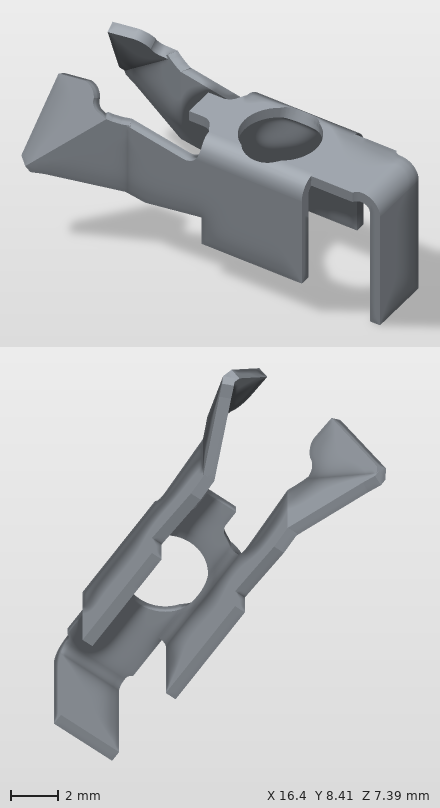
import cadquery as cq
import math


THICKNESS = 0.5
OUTER_RADIUS = 0.9
INNER_RADIUS = OUTER_RADIUS - THICKNESS
END_X = 16.39

WALL_OUTER_Y = 2.41
WALL_INNER_Y = WALL_OUTER_Y - THICKNESS
WALL_FRONT_X = 8.01
WALL_END_X = 13.05
WALL_BOTTOM_Z = -5.31
NOTCH_TOP_Z = -3.9
ARM_LOWEST_POINT = (5.18, -4.31)
BEND_Y = WALL_OUTER_Y - OUTER_RADIUS

TAB_START_X = 6.33
TAB_HALF_WIDTH = 0.75
RELIEF_START_X = 7.08
RELIEF_END_X = 7.8
RELIEF_BOTTOM_Z = -1.15
NECK_HALF_WIDTH = 1.7
NECK_END_X = 15.15
NECK_CORNER_END_X = 15.44
FLANGE_BEND_X = END_X - OUTER_RADIUS
FLANGE_BOTTOM_Z = -6.72

HOLE_X = 10.42
HOLE_RADIUS = 1.8
HOLE_BEND_ANGLE = 30

FLANK_ANGLE = 24.3
FLANK_CREASE_X = 4.2
ARM_CREASE_TOP_Z = -0.55
ARM_CREASE_BOTTOM_Z = -4.15
FOLD_ANGLE = 40.4
FOLD_TOP = (1.02, -0.31)
FOLD_BOTTOM = (4.47, -3.23)
FLANK_CHAMFER_END = (4.26, -3.52)
FLANK_BOTTOM_KNEE = (3.65, -3.55)
TIP_TOP_CORNER = (1.25, 2.75)
TIP_FRONT_CORNER = (4.49, 0.49)


def top_plate():
    """Flat plate with the tab in front and the neck behind, less the hole."""
    corner_length = NECK_CORNER_END_X - NECK_END_X
    corner_depth = NECK_HALF_WIDTH - BEND_Y
    corner_radius = (corner_length**2 + corner_depth**2) / (2 * corner_depth)
    half = (
        cq.Workplane("XY")
        .moveTo(TAB_START_X, 0)
        .lineTo(TAB_START_X, TAB_HALF_WIDTH)
        .lineTo(RELIEF_START_X, TAB_HALF_WIDTH)
        .threePointArc((7.36, 0.85), (7.54, 1.05))
        .lineTo(RELIEF_END_X, BEND_Y)
        .lineTo(WALL_END_X, BEND_Y)
        .lineTo(WALL_END_X, NECK_HALF_WIDTH)
        .lineTo(NECK_END_X, NECK_HALF_WIDTH)
        .radiusArc((NECK_CORNER_END_X, BEND_Y), -corner_radius)
        .lineTo(FLANGE_BEND_X, BEND_Y)
        .lineTo(FLANGE_BEND_X, 0)
        .close()
        .extrude(-THICKNESS)
    )
    hole = cq.Workplane("XY").center(HOLE_X, 0).circle(HOLE_RADIUS).extrude(-THICKNESS)
    return half.union(half.mirror("XZ")).cut(hole)


def end_flange():
    """Rounded bend at the far end and the flange hanging from it."""
    return (
        cq.Workplane("XZ")
        .moveTo(FLANGE_BEND_X, 0)
        .radiusArc((END_X, -OUTER_RADIUS), OUTER_RADIUS)
        .lineTo(END_X, FLANGE_BOTTOM_Z)
        .lineTo(END_X - THICKNESS, FLANGE_BOTTOM_Z)
        .lineTo(END_X - THICKNESS, -OUTER_RADIUS)
        .radiusArc((FLANGE_BEND_X, -THICKNESS), -INNER_RADIUS)
        .close()
        .extrude(BEND_Y, both=True)
    )


def hole_in_bend():
    """Part of the hole lying in a side bend; its walls converge on the bend axis."""
    half_chord = math.sqrt(HOLE_RADIUS**2 - BEND_Y**2)
    spread = math.tan(math.radians(HOLE_BEND_ANGLE))
    upper_reach = OUTER_RADIUS * spread
    cutter_depth = OUTER_RADIUS - INNER_RADIUS / 2
    lower_reach = (OUTER_RADIUS - cutter_depth) * spread
    return (
        cq.Workplane("XY", origin=(HOLE_X, -BEND_Y, 0))
        .moveTo(-half_chord, 0)
        .threePointArc((0, -upper_reach), (half_chord, 0))
        .close()
        .workplane(offset=-cutter_depth)
        .moveTo(-half_chord, 0)
        .threePointArc((0, -lower_reach), (half_chord, 0))
        .close()
        .loft(ruled=True)
    )


def side_wall():
    """Flat wall on the -Y side with the arm in front of it, and the bend up to the plate."""
    relief_at_bend = (7.72, -OUTER_RADIUS)
    flat = (
        cq.Workplane("XZ", origin=(0, -WALL_INNER_Y, 0))
        .moveTo(FLANK_CREASE_X, ARM_CREASE_TOP_Z)
        .lineTo(RELIEF_START_X, RELIEF_BOTTOM_Z)
        .threePointArc((7.47, -1.1), relief_at_bend)
        .lineTo(WALL_END_X, -OUTER_RADIUS)
        .lineTo(WALL_END_X, WALL_BOTTOM_Z)
        .lineTo(WALL_FRONT_X, WALL_BOTTOM_Z)
        .lineTo(WALL_FRONT_X, NOTCH_TOP_Z)
        .lineTo(*ARM_LOWEST_POINT)
        .lineTo(FLANK_CREASE_X, ARM_CREASE_BOTTOM_Z)
        .close()
        .extrude(THICKNESS)
    )
    quarter_ring = (
        cq.Workplane("YZ", origin=(RELIEF_START_X, 0, 0))
        .moveTo(-BEND_Y, 0)
        .radiusArc((-WALL_OUTER_Y, -OUTER_RADIUS), -OUTER_RADIUS)
        .lineTo(-WALL_INNER_Y, -OUTER_RADIUS)
        .radiusArc((-BEND_Y, -THICKNESS), INNER_RADIUS)
        .close()
        .extrude(WALL_END_X - RELIEF_START_X)
    )
    bend_outline = (
        cq.Workplane("XZ")
        .moveTo(*relief_at_bend)
        .threePointArc((7.88, -0.45), (RELIEF_END_X, 0))
        .lineTo(WALL_END_X, 0)
        .lineTo(WALL_END_X, -OUTER_RADIUS)
        .close()
        .extrude(WALL_OUTER_Y)
    )
    bend = quarter_ring.intersect(bend_outline).cut(hole_in_bend())
    return flat.union(bend)


def finger():
    """Flank and folded tip on the -Y side."""
    angle = math.radians(FLANK_ANGLE)
    flank_inner_face = cq.Plane(
        origin=(FLANK_CREASE_X, -WALL_INNER_Y, 0),
        xDir=(-math.cos(angle), -math.sin(angle), 0),
        normal=(-math.sin(angle), math.cos(angle), 0),
    )
    flank = (
        cq.Workplane(flank_inner_face)
        .moveTo(0, ARM_CREASE_TOP_Z)
        .lineTo(0.4, -0.5)
        .lineTo(0.77, -0.41)
        .lineTo(*FOLD_TOP)
        .lineTo(*FOLD_BOTTOM)
        .lineTo(*FLANK_CHAMFER_END)
        .lineTo(*FLANK_BOTTOM_KNEE)
        .lineTo(0, ARM_CREASE_BOTTOM_Z)
        .close()
        .extrude(-THICKNESS)
    )

    fold_run = FOLD_BOTTOM[0] - FOLD_TOP[0]
    fold_drop = FOLD_TOP[1] - FOLD_BOTTOM[1]
    fold_length = math.hypot(fold_run, fold_drop)
    fold_slope = math.degrees(math.atan2(fold_drop, fold_run))
    tip = (
        cq.Workplane(flank_inner_face)
        .transformed(offset=(*FOLD_TOP, -THICKNESS), rotate=(0, 0, -fold_slope))
        .transformed(rotate=(FOLD_ANGLE, 0, 0))
        .moveTo(0, 0)
        .lineTo(0.25, 0.48)
        .threePointArc((0.31, 0.72), (0.15, 1.07))
        .threePointArc((0.05, 1.49), (0.2, 1.9))
        .lineTo(*TIP_TOP_CORNER)
        .lineTo(*TIP_FRONT_CORNER)
        .lineTo(fold_length, 0)
        .close()
        .extrude(THICKNESS)
    )
    return flank.union(tip)


near_side = side_wall().union(finger())
result = top_plate().union(end_flange()).union(near_side).union(near_side.mirror("XZ"))